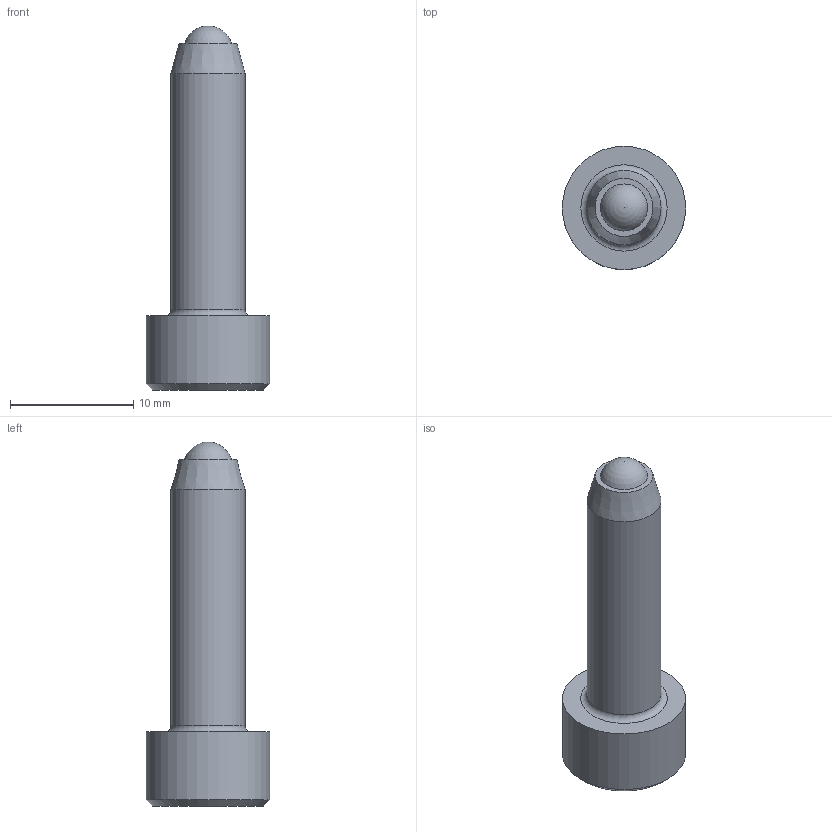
import cadquery as cq
import math

total_length = 29.5

head_radius = 10 / 2
head_height = 6.0
head_chamfer = 0.5

shank_radius = 6 / 2
root_fillet = 0.5

nose_height = 2.45
nose_half_angle = math.radians(15)

ball_radius = 2.0
ball_protrusion = 1.4

nose_top_z = total_length - ball_protrusion
nose_base_z = nose_top_z - nose_height
nose_top_radius = shank_radius - nose_height * math.tan(nose_half_angle)
ball_center_z = total_length - ball_radius


def make_body():
    """Head, shank and tapered nose, revolved about the Z axis."""
    fillet_center = (shank_radius + root_fillet, head_height + root_fillet)
    fillet_reach = root_fillet * math.cos(math.radians(45))
    fillet_middle = (fillet_center[0] - fillet_reach, fillet_center[1] - fillet_reach)
    profile = (
        cq.Workplane("XZ")
        .moveTo(0, 0)
        .lineTo(head_radius - head_chamfer, 0)
        .lineTo(head_radius, head_chamfer)
        .lineTo(head_radius, head_height)
        .lineTo(fillet_center[0], head_height)
        .threePointArc(fillet_middle, (shank_radius, fillet_center[1]))
        .lineTo(shank_radius, nose_base_z)
        .lineTo(nose_top_radius, nose_top_z)
        .lineTo(0, nose_top_z)
        .close()
    )
    return profile.revolve(360, (0, 0, 0), (0, 1, 0))


def make_ball():
    """Ball seated in the nose, with only its cap exposed."""
    return cq.Workplane("XY").sphere(ball_radius).translate((0, 0, ball_center_z))


result = make_body().union(make_ball())